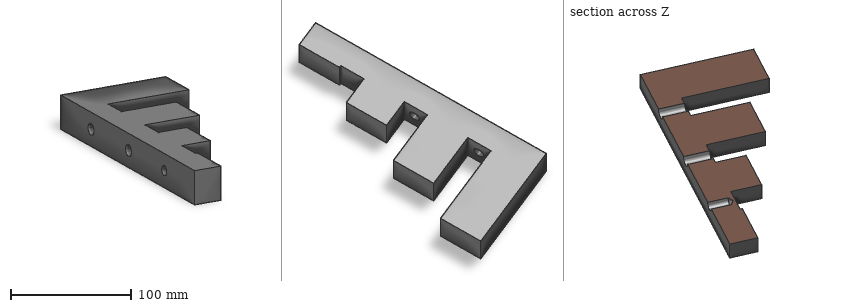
import cadquery as cq
import math

thickness = 30.0
base_depth = 23.0
finger_width = 40.0
finger_gap = 23.0
finger_count = 4
longest_reach = 100.0
reach_step = 25.0

finger_pitch = finger_width + finger_gap
bar_length = (finger_count - 1) * finger_pitch + finger_width

through_hole_diameter = 10.0
through_hole_positions = (52.0, 116.0)
blind_hole_diameter = 8.5
blind_hole_position = 177.0
blind_hole_depth = 18.0
drill_point_angle = 118.0


def make_comb():
    """Base bar with its fingers, front left bottom corner at the origin."""
    comb = cq.Workplane("XY").box(bar_length, base_depth, thickness, centered=False)
    for index in range(finger_count):
        reach = longest_reach - index * reach_step
        finger = (
            cq.Workplane("XY")
            .box(finger_width, reach, thickness, centered=False)
            .translate((index * finger_pitch, 0, 0))
        )
        comb = comb.union(finger)
    return comb


def hole_plane(position):
    """Workplane on the front face, centred on a hole and pointing into the part."""
    return cq.Workplane(cq.Plane(origin=(position, 0, thickness / 2), xDir=(1, 0, 0), normal=(0, 1, 0)))


def make_through_hole(position):
    return hole_plane(position).circle(through_hole_diameter / 2).extrude(base_depth)


def make_blind_hole(position):
    """Drilled hole with a conical bottom beyond its full-diameter depth."""
    radius = blind_hole_diameter / 2
    point_depth = radius / math.tan(math.radians(drill_point_angle / 2))
    return (
        cq.Workplane("XY")
        .moveTo(0, 0)
        .lineTo(radius, 0)
        .lineTo(radius, blind_hole_depth)
        .lineTo(0, blind_hole_depth + point_depth)
        .close()
        .revolve(360, (0, 0, 0), (0, 1, 0))
        .translate((position, 0, thickness / 2))
    )


result = make_comb()
for hole_position in through_hole_positions:
    result = result.cut(make_through_hole(hole_position))
result = result.cut(make_blind_hole(blind_hole_position))